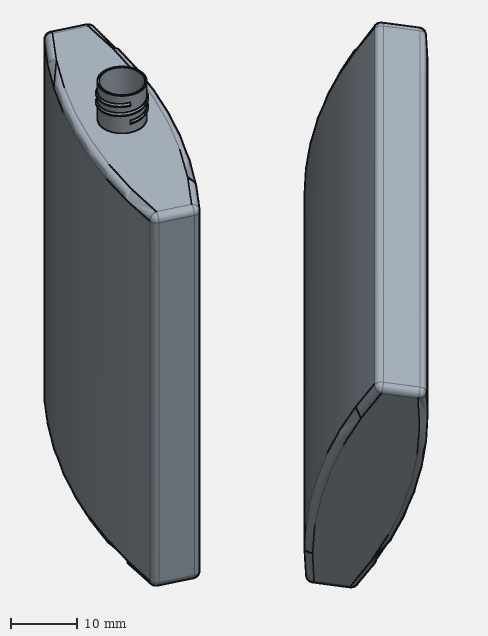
import cadquery as cq

total_height = 77.0
width = 50.0
depth_middle = 15.0
depth_ends = 7.5
edge_radius = 1.2

neck_height = 7.0
neck_diameter = 7.5
bore_diameter = 6.9
body_height = total_height - neck_height

thread_diameter = 7.9
thread_pitch = 1.7
thread_turns = 2
thread_base = 0.7
thread_rise = 1.9
thread_start = body_height + thread_rise


def make_flask():
    """Bowed flask with rounded edges and an open, hollow neck."""
    half_width = width / 2
    half_middle = depth_middle / 2
    half_end = depth_ends / 2
    body = (
        cq.Workplane("XY")
        .moveTo(-half_width, -half_end)
        .threePointArc((0, -half_middle), (half_width, -half_end))
        .lineTo(half_width, half_end)
        .threePointArc((0, half_middle), (-half_width, half_end))
        .close()
        .extrude(body_height)
        .edges()
        .fillet(edge_radius)
    )
    neck = (
        cq.Workplane("XY", origin=(0, 0, body_height))
        .circle(neck_diameter / 2)
        .circle(bore_diameter / 2)
        .extrude(neck_height)
    )
    return body.union(neck).solids()


def make_thread():
    """Right-handed helical ridge whose base lies on the outside of the neck."""
    neck_radius = neck_diameter / 2
    helix = cq.Wire.makeHelix(
        thread_pitch,
        thread_pitch * thread_turns,
        neck_radius,
        center=cq.Vector(0, 0, thread_start),
    )
    profile = cq.Workplane("XZ").polyline([
        (neck_radius, thread_start - thread_base / 2),
        (thread_diameter / 2, thread_start),
        (neck_radius, thread_start + thread_base / 2),
    ]).close()
    return profile.sweep(cq.Workplane(helix), isFrenet=True)


flask = make_flask()
thread = make_thread()
result = cq.Compound.makeCompound([flask.val(), thread.val()])